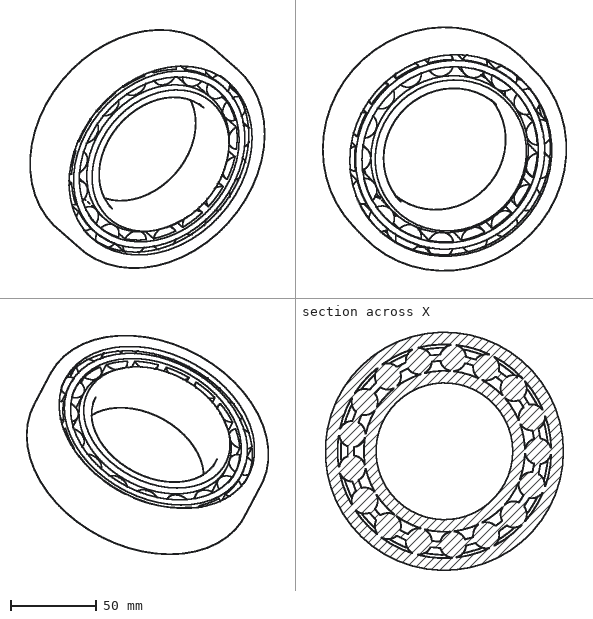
import cadquery as cq
import math

outer_diameter = 140.0
bore_diameter = 80.0
width = 33.0
edge_radius = 2.0

outer_raceway_diameter = 125.3
lip_diameter = 121.5
lip_width = 4.2

inner_raceway_diameter = 94.6
taper_height = 1.8
taper_length = 3.2

cage_outer_diameter = 113.8
cage_inner_diameter = 106.1
cage_inset = 1.7

roller_count = 17
roller_interference = 0.07
roller_length = width - 2 * lip_width
roller_pitch_radius = (outer_raceway_diameter + inner_raceway_diameter) / 4
roller_radius = (outer_raceway_diameter - inner_raceway_diameter) / 4 + roller_interference


def cylinder(diameter, length):
    """Solid cylinder along X, centred on the origin."""
    return cq.Workplane("YZ", origin=(-length / 2, 0, 0)).circle(diameter / 2).extrude(length)


def make_outer_ring():
    body = cylinder(outer_diameter, width).edges().fillet(edge_radius)
    groove = cylinder(outer_raceway_diameter, roller_length)
    return body.cut(cylinder(lip_diameter, width)).cut(groove)


def make_inner_ring():
    half_width = width / 2
    bore_radius = bore_diameter / 2
    raceway_radius = inner_raceway_diameter / 2
    face_radius = raceway_radius - taper_height
    taper_start = half_width - taper_length
    fillet_start = half_width - edge_radius
    fillet_top = bore_radius + edge_radius
    arc_offset = edge_radius * (1 - math.sqrt(0.5))
    arc_middle = (half_width - arc_offset, bore_radius + arc_offset)
    profile = (
        cq.Workplane("XY")
        .moveTo(-fillet_start, bore_radius)
        .lineTo(fillet_start, bore_radius)
        .threePointArc(arc_middle, (half_width, fillet_top))
        .lineTo(half_width, face_radius)
        .lineTo(taper_start, raceway_radius)
        .lineTo(-taper_start, raceway_radius)
        .lineTo(-half_width, face_radius)
        .lineTo(-half_width, fillet_top)
        .threePointArc((-arc_middle[0], arc_middle[1]), (-fillet_start, bore_radius))
        .close()
    )
    return profile.revolve(360, (0, 0, 0), (1, 0, 0))


def make_cage():
    length = width - 2 * cage_inset
    return cylinder(cage_outer_diameter, length).cut(cylinder(cage_inner_diameter, length))


def make_rollers():
    roller = cylinder(2 * roller_radius, roller_length)
    roller = roller.translate((0, roller_pitch_radius, 0))
    step = 360 / roller_count
    return [roller.rotate((0, 0, 0), (1, 0, 0), i * step) for i in range(roller_count)]


result = make_cage()
for roller in make_rollers():
    result = result.union(roller)
result = result.union(make_inner_ring()).union(make_outer_ring())